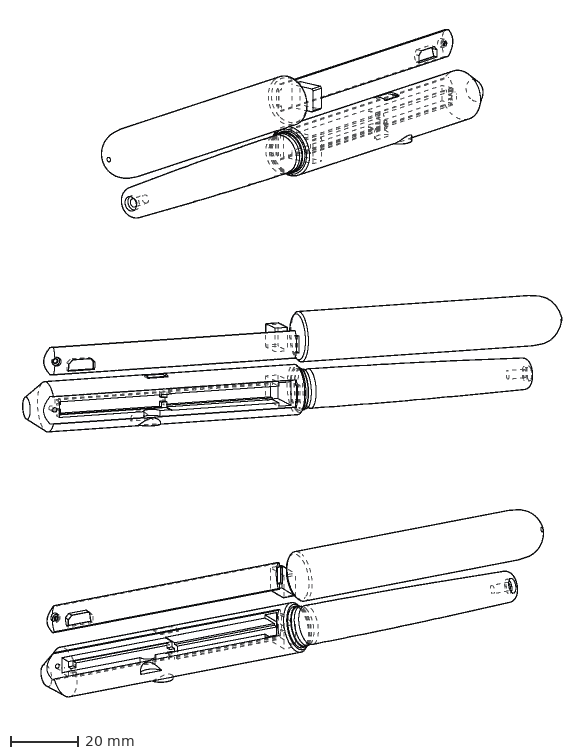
import cadquery as cq
import math

LENGTH = 169.5
BODY_D = 15.0
AXIS_LIFT = 16.0
COVER_LIFT = 14.9
BODY_R = BODY_D / 2

TAIL_D = 6.6
TAIL_TAPER = 6.3
BARREL_FRONT = 83.4
EDGE_CHAMFER = 0.7
LUG_HALF_X = 6.1
LUG_WIDTH_Y = 7.1
LUG_BOTTOM = 6.8
LUG_CORNER_R = 3.4
TOP_SLOT_X = 4.5
TOP_SLOT_Y = 6.3
TOP_SLOT_CENTRE_Y = 128.6
TOP_SLOT_FLOOR = 7.0

COLLAR_R = 6.3
COLLAR_LENGTH = 1.0
NECK_R = 6.0
NECK_LENGTH = 1.0
GROOVE_R = 5.6
GRIP_BACK = 79.8
GRIP_MID_R = 5.6
GRIP_FRONT_R = 4.7
GRIP_FRONT = 10.2
GRIP_NOSE_FILLET = 2.0
NIB_RECESS_D = 4.4
NIB_RECESS_DEPTH = 1.4
NIB_HOLE_D = 2.5
NIB_HOLE_DEPTH = 6.8

RECESS_FLOOR = -5.6
RECESS_WIDTH = 8.3
RECESS_HALF_Z = RECESS_WIDTH / 2
RECESS_FRONT = 86.3
COVER_GAP = 0.3
TAB_THICKNESS = 1.0
TAB_LENGTH = 1.0
TAB_HALF_Z = 2.5

SHELF_FLOOR = -1.7
REAR_WELL_FLOOR = 0.0
LEDGE_FLOOR = 0.0
FRONT_WELL_FLOOR = 1.7
REAR_POCKET_BACK = 161.0
REAR_POCKET_FRONT = 125.5
REAR_POCKET_HALF_Z = 2.4
REAR_WELL_HALF_Z = 2.2
SHELF_LENGTH = 1.7
WIRE_SLOT_WIDTH = 1.4
FRONT_WELL_HALF_Z = 2.0
LEDGE_WIDTH = 0.5
BUTTON_Y = 131.7
BUTTON_HOLE_D = 5.0

BLOCK_X = 8.3
BLOCK_Y = 3.9
BLOCK_Z = 7.1
BLOCK_LEFT = -2.4
BLOCK_FRONT = 87.6
BLOCK_CHAMFER = 0.5

SCREW_Y = 162.5
SCREW_HEAD_D = 2.5
SCREW_SEAT = 0.7
SCREW_CLEARANCE_D = 1.4
SCREW_PILOT_D = 1.3
SCREW_PILOT_DEPTH = 3.4
PORT_CENTRE_Y = 154.5
PORT_WIDTH = 8.3
PORT_BOTTOM = -3.2
PORT_TOP = 0.25
PORT_CORNER = 1.2

CAP_BACK = 83.5
CAP_NOSE = 9.8
CAP_NOSE_MID_R = 6.1
CAP_NOSE_MID_Y = 3.9
CAP_TIP_R = 0.7
CAP_TIP_SLOPE = 0.4

BLOCK_BACK = BLOCK_FRONT + BLOCK_Y
BLOCK_RIGHT = BLOCK_LEFT + BLOCK_X


def box_between(x0, x1, y0, y1, z0, z1):
    """Box given by its limits along each axis."""
    return cq.Workplane("XY").box(x1 - x0, y1 - y0, z1 - z0, centered=False).translate((x0, y0, z0))


def floor_pocket(y0, y1, half_z, depth_x):
    """Box open toward -X, from outside the barrel down to x = depth_x."""
    return box_between(-BODY_R, depth_x, y0, y1, -half_z, half_z)


def bore_x(diameter, y, x0, x1):
    """Cylinder along X on the mid-height of the barrel."""
    return cq.Workplane("YZ", origin=(x0, y, 0)).circle(diameter / 2).extrude(x1 - x0)


def bore_nose(diameter, depth):
    """Cylinder along Y going into the front end of the grip."""
    plane = cq.Plane(origin=(0, GRIP_FRONT, 0), xDir=(1, 0, 0), normal=(0, 1, 0))
    return cq.Workplane(plane).circle(diameter / 2).extrude(depth)


def revolve_y(profile):
    """Solid of revolution about the Y axis from a closed radius / Y profile."""
    return profile.close().revolve(360, (0, 0, 0), (0, 1, 0))


def make_barrel_blank():
    """Plain barrel cylinder with its tapered tail."""
    return revolve_y(
        cq.Workplane("XY")
        .moveTo(0, BARREL_FRONT)
        .lineTo(BODY_R - EDGE_CHAMFER, BARREL_FRONT)
        .lineTo(BODY_R, BARREL_FRONT + EDGE_CHAMFER)
        .lineTo(BODY_R, LENGTH - TAIL_TAPER)
        .lineTo(TAIL_D / 2, LENGTH)
        .lineTo(0, LENGTH)
    )


def make_grip():
    """Stepped collar and tapered grip with a rounded nose and a stepped nib hole."""
    collar_front = BARREL_FRONT - COLLAR_LENGTH
    neck_front = collar_front - NECK_LENGTH
    shoulder_y = GRIP_FRONT + GRIP_NOSE_FILLET
    face_r = GRIP_FRONT_R - GRIP_NOSE_FILLET
    diagonal = GRIP_NOSE_FILLET / math.sqrt(2)
    grip = revolve_y(
        cq.Workplane("XY")
        .moveTo(0, BARREL_FRONT)
        .lineTo(COLLAR_R, BARREL_FRONT)
        .lineTo(COLLAR_R, collar_front)
        .lineTo(NECK_R, collar_front)
        .lineTo(NECK_R, neck_front)
        .threePointArc((GROOVE_R, (neck_front + GRIP_BACK) / 2), (NECK_R, GRIP_BACK))
        .threePointArc((GRIP_MID_R, (GRIP_BACK + shoulder_y) / 2), (GRIP_FRONT_R, shoulder_y))
        .threePointArc((face_r + diagonal, shoulder_y - diagonal), (face_r, GRIP_FRONT))
        .lineTo(0, GRIP_FRONT)
    )
    return grip.cut(bore_nose(NIB_RECESS_D, NIB_RECESS_DEPTH)).cut(bore_nose(NIB_HOLE_D, NIB_HOLE_DEPTH))


def make_lug():
    """Flat-bottomed button pad that stands out on both sides under the barrel."""
    y0 = BUTTON_Y - LUG_WIDTH_Y / 2
    y1 = BUTTON_Y + LUG_WIDTH_Y / 2
    pad = box_between(-LUG_HALF_X, LUG_HALF_X, y0, y1, -LUG_BOTTOM, -RECESS_HALF_Z)
    return pad.edges("|Z").fillet(LUG_CORNER_R)


def make_cover_space(gap):
    """Cover outline with its front tongue, pulled back from the recess front by the gap."""
    front = RECESS_FRONT + gap
    panel = floor_pocket(front, LENGTH, RECESS_HALF_Z, RECESS_FLOOR)
    tab = box_between(
        RECESS_FLOOR - TAB_THICKNESS, RECESS_FLOOR, front - TAB_LENGTH, front, -TAB_HALF_Z, TAB_HALF_Z
    )
    return panel.union(tab)


def make_rear_pocket():
    """Deep pocket with a raised, slotted shelf at each end."""
    opening = floor_pocket(REAR_POCKET_FRONT, REAR_POCKET_BACK, REAR_POCKET_HALF_Z, SHELF_FLOOR)
    well_front = REAR_POCKET_FRONT + SHELF_LENGTH
    well_back = REAR_POCKET_BACK - SHELF_LENGTH
    well = floor_pocket(well_front, well_back, REAR_WELL_HALF_Z, REAR_WELL_FLOOR)
    wire_slot = floor_pocket(REAR_POCKET_FRONT, REAR_POCKET_BACK, WIRE_SLOT_WIDTH / 2, REAR_WELL_FLOOR)
    return opening.union(well).union(wire_slot)


def make_front_pocket():
    """Deep pocket with a raised ledge along both long sides."""
    ledge_half_z = FRONT_WELL_HALF_Z + LEDGE_WIDTH
    opening = floor_pocket(BLOCK_BACK, REAR_POCKET_FRONT, ledge_half_z, LEDGE_FLOOR)
    well = floor_pocket(BLOCK_BACK, REAR_POCKET_FRONT, FRONT_WELL_HALF_Z, FRONT_WELL_FLOOR)
    return opening.union(well)


def make_button_hole():
    """Half-open vertical hole from the rear pocket to the lower side of the recess."""
    return (
        cq.Workplane("XY", origin=(RECESS_FLOOR, BUTTON_Y, -RECESS_HALF_Z))
        .circle(BUTTON_HOLE_D / 2)
        .extrude(RECESS_HALF_Z)
    )


def make_top_slot():
    """Shallow rectangular slot on top of the barrel."""
    half_x = TOP_SLOT_X / 2
    y0 = TOP_SLOT_CENTRE_Y - TOP_SLOT_Y / 2
    y1 = TOP_SLOT_CENTRE_Y + TOP_SLOT_Y / 2
    return box_between(-half_x, half_x, y0, y1, TOP_SLOT_FLOOR, BODY_R)


def make_barrel():
    """Barrel and grip in one piece, with the cover recess and its pockets."""
    barrel = make_barrel_blank().union(make_grip()).union(make_lug())
    block_pocket = floor_pocket(BLOCK_FRONT, BLOCK_BACK, BLOCK_Z / 2, BLOCK_RIGHT)
    screw_pilot = bore_x(SCREW_PILOT_D, SCREW_Y, RECESS_FLOOR, RECESS_FLOOR + SCREW_PILOT_DEPTH)
    cuts = [
        make_cover_space(0),
        make_rear_pocket(),
        make_front_pocket(),
        block_pocket,
        make_button_hole(),
        screw_pilot,
        make_top_slot(),
    ]
    for cut in cuts:
        barrel = barrel.cut(cut)
    return barrel


def make_port():
    """Port opening through the cover, with its two upper corners cut off."""
    half = PORT_WIDTH / 2
    return (
        cq.Workplane("YZ", origin=(-BODY_R, PORT_CENTRE_Y, 0))
        .moveTo(-half, PORT_BOTTOM)
        .lineTo(half, PORT_BOTTOM)
        .lineTo(half, PORT_TOP - PORT_CORNER)
        .lineTo(half - PORT_CORNER, PORT_TOP)
        .lineTo(PORT_CORNER - half, PORT_TOP)
        .lineTo(-half, PORT_TOP - PORT_CORNER)
        .close()
        .extrude(BODY_R + RECESS_FLOOR)
    )


def make_cover():
    """Cover plate shaped like the piece missing from the barrel, raised clear of it."""
    cover = make_barrel_blank().intersect(make_cover_space(COVER_GAP))
    cover = cover.cut(bore_x(SCREW_HEAD_D, SCREW_Y, -BODY_R, RECESS_FLOOR - SCREW_SEAT))
    cover = cover.cut(bore_x(SCREW_CLEARANCE_D, SCREW_Y, -BODY_R, RECESS_FLOOR))
    return cover.cut(make_port()).translate((0, 0, COVER_LIFT))


def make_block():
    """Rectangular block, chamfered at its +X end, raised clear of its pocket."""
    block = box_between(BLOCK_LEFT, BLOCK_RIGHT, BLOCK_FRONT, BLOCK_BACK, -BLOCK_Z / 2, BLOCK_Z / 2)
    return block.faces(">X").edges("|Y").chamfer(BLOCK_CHAMFER).translate((0, 0, AXIS_LIFT))


def make_cap():
    """Cap with a bullet nose, raised parallel to the barrel."""
    cap = revolve_y(
        cq.Workplane("XY")
        .moveTo(0, CAP_BACK)
        .lineTo(BODY_R - EDGE_CHAMFER, CAP_BACK)
        .lineTo(BODY_R, CAP_BACK - EDGE_CHAMFER)
        .lineTo(BODY_R, CAP_NOSE)
        .spline(
            [(CAP_NOSE_MID_R, CAP_NOSE_MID_Y), (CAP_TIP_R, 0)],
            tangents=[(0, -1), (-1, -CAP_TIP_SLOPE)],
            includeCurrent=True,
        )
        .lineTo(0, 0)
    )
    return cap.translate((0, 0, AXIS_LIFT))


barrel = make_barrel()
cover = make_cover()
block = make_block()
cap = make_cap()

result = cq.Compound.makeCompound([barrel.val(), cover.val(), block.val(), cap.val()])